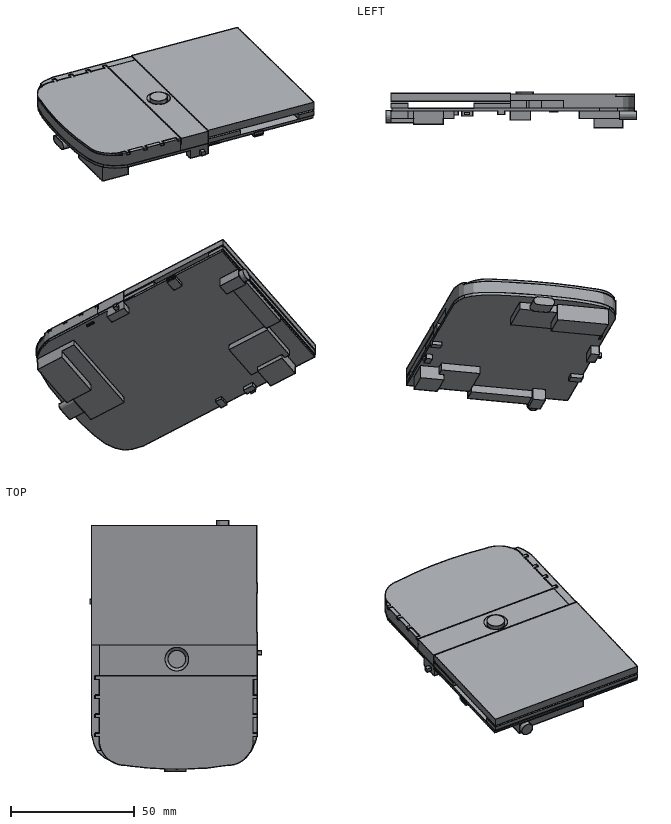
import cadquery as cq


OVERALL_WIDTH = 69.5
OVERALL_LENGTH = 101.5
OVERALL_HEIGHT = 14.6
HALF_WIDTH = 33.6
RIGHT_INSET = 0.2
BOARD_BACK = 99.1
BODY_BACK = 99.5
SPLIT_Y = 51.1
KEYPAD_BACK = 38.5
GAP = 0.3

BOARD_TOP = 1.2
SPACER_TOP = 3.2
DISPLAY_BOTTOM = 4.0
MODULE_SHELF_TOP = 4.3
KEYPAD_BOTTOM = 6.0
KEYBOARD_TOP = 7.0
DISPLAY_TOP = 7.3
BUTTON_TOP = 7.8
LOWEST = BUTTON_TOP - OVERALL_HEIGHT

RIGHT_X = HALF_WIDTH - RIGHT_INSET


def block(x0, x1, y0, y1, z0, z1):
    """Solid box between two opposite corners."""
    return cq.Workplane("XY").box(x1 - x0, y1 - y0, z1 - z0, centered=False).translate((x0, y0, z0))


def make_display():
    return block(-HALF_WIDTH, RIGHT_X, SPLIT_Y, BODY_BACK, DISPLAY_BOTTOM, DISPLAY_TOP)


FRONT_SPACER_BACK = 65.9
REAR_SPACER_FRONT = 92.5


def make_spacer(y0, y1):
    return block(-HALF_WIDTH, RIGHT_X, y0, y1, BOARD_TOP, SPACER_TOP)


LEFT_FACETS = [
    (-HALF_WIDTH, 15.0),
    (-33.3, 14.3),
    (-32.5, 10.7),
    (-31.0, 7.7),
    (-28.0, 5.3),
    (-24.0, 3.4),
    (-17.7, 2.0),
]
BOARD_FRONT_FACETS = [(-9.6, 1.2), (0.3, 0.9), (13.3, 1.2)]
BOARD_RIGHT_FACETS = [(20.6, 2.3), (25.3, 3.7), (28.9, 5.7), (31.7, 9.4), (RIGHT_X, 14.3)]


JACK_X = 19.5
JACK_RADIUS = 2.5
JACK_BOTTOM = -4.8
JACK_LENGTH = OVERALL_LENGTH - BODY_BACK
SHIELD_BOTTOM = -3.0
SOCKET_X = 0.4
SOCKET_WIDTH = 8.6
SOCKET_DEPTH = 7.0
SOCKET_HEIGHT = 3.5
RIGHT_KEY_TIP_X = 35.3
LEFT_KEY_TIP_X = RIGHT_KEY_TIP_X - OVERALL_WIDTH

COMPONENTS = {
    "camera": (-32.6, -22.9, 78.3, 90.3, -5.4, 0),
    "left shield": (-25.0, -8.9, 73.9, 92.6, SHIELD_BOTTOM, 0),
    "rear shield": (-8.1, JACK_X, 92.6, BODY_BACK, SHIELD_BOTTOM, 0),
    "front shield": (-8.1, 28.3, SOCKET_DEPTH, 23.3, SHIELD_BOTTOM, 0),
    "speaker": (7.3, 28.3, 5.6, 17.4, LOWEST, 0),
    "jack block": (
        JACK_X - JACK_RADIUS, JACK_X + JACK_RADIUS, 90.3, BODY_BACK, JACK_BOTTOM, 0,
    ),
    "left key switch": (-33.0, -30.6, 66.3, 70.9, -2.0, 0),
    "left key": (LEFT_KEY_TIP_X, -33.0, 67.6, 69.6, -1.4, -0.6),
    "left contact": (-HALF_WIDTH, -29.6, 53.3, 56.2, -1.4, 0),
    "right key switch": (30.0, RIGHT_X, 42.9, 51.2, -3.7, 0),
    "right key": (RIGHT_X, RIGHT_KEY_TIP_X, 47.1, 48.8, -2.6, -0.9),
    "rear switch": (28.4, RIGHT_X, 72.2, 76.2, -1.6, 0),
    "rear switch lip": (RIGHT_X, 33.7, 72.2, 76.2, -0.8, 0.5),
    "right contact lip": (RIGHT_X, HALF_WIDTH, SPLIT_Y, 56.2, 0, 0.5),
    "right pad": (31.3, 32.1, 31.9, 35.3, -0.4, 0),
}


def make_charging_socket():
    """Round-ended bar hanging from the front of the board."""
    socket = cq.Workplane("XZ").slot2D(SOCKET_WIDTH, SOCKET_HEIGHT).extrude(-SOCKET_DEPTH)
    return socket.translate((SOCKET_X, 0, -SOCKET_HEIGHT / 2))


def make_jack():
    jack = cq.Workplane("XZ").circle(JACK_RADIUS).extrude(-JACK_LENGTH)
    return jack.translate((JACK_X, BODY_BACK, JACK_BOTTOM + JACK_RADIUS))


def make_circuit_board():
    outline = [(-HALF_WIDTH, BOARD_BACK), *LEFT_FACETS, *BOARD_FRONT_FACETS, *BOARD_RIGHT_FACETS]
    outline.append((RIGHT_X, BOARD_BACK))
    board = cq.Workplane("XY").polyline(outline).close().extrude(BOARD_TOP)
    for corners in COMPONENTS.values():
        board = board.union(block(*corners))
    return board.union(make_charging_socket()).union(make_jack())


KEYPAD_X = 0.8
KEYPAD_HALF_WIDTH = 31.1
KEYPAD_FRONT = 0.8
KEYPAD_CURVE_START = 11.2
TAB_LENGTH = 1.7
TAB_WIDTH = 1.3
TAB_PITCH = 7.7
TAB_COUNT = 4

CORNER_MIDDLE = (28.1, 5.4)
CORNER_END = (20.6, 2.3)


def keypad_plate():
    middle_x, middle_y = CORNER_MIDDLE
    end_x, end_y = CORNER_END
    return (
        cq.Workplane("XY", origin=(KEYPAD_X, 0, KEYPAD_BOTTOM))
        .moveTo(-KEYPAD_HALF_WIDTH, KEYPAD_BACK)
        .lineTo(KEYPAD_HALF_WIDTH, KEYPAD_BACK)
        .lineTo(KEYPAD_HALF_WIDTH, KEYPAD_CURVE_START)
        .threePointArc(CORNER_MIDDLE, CORNER_END)
        .threePointArc((0, KEYPAD_FRONT), (-end_x, end_y))
        .threePointArc((-middle_x, middle_y), (-KEYPAD_HALF_WIDTH, KEYPAD_CURVE_START))
        .close()
        .extrude(KEYBOARD_TOP - KEYPAD_BOTTOM)
    )


def make_keypad():
    keypad = keypad_plate()
    reach = KEYPAD_HALF_WIDTH + TAB_LENGTH
    for i in range(TAB_COUNT):
        back = KEYPAD_BACK - i * TAB_PITCH
        keypad = keypad.union(
            block(KEYPAD_X - reach, KEYPAD_X + reach, back - TAB_WIDTH, back, KEYPAD_BOTTOM, KEYBOARD_TOP)
        )
    return keypad


BAND_LEFT = KEYPAD_X - KEYPAD_HALF_WIDTH
BAND_FRONT = KEYPAD_BACK + GAP
BUTTON_X = 1.0
BUTTON_Y = 45.4
BUTTON_RADIUS = 3.6
DISH_RADIUS = 4.8
DISH_DEPTH = 1.0
FOOT_FRONT = 44.7
GROOVE_WIDTH = 1.0
GROOVE_DEPTH = 0.3


def make_button():
    floor = KEYBOARD_TOP - DISH_DEPTH
    return (
        cq.Workplane("XY", origin=(BUTTON_X, BUTTON_Y, floor))
        .circle(BUTTON_RADIUS)
        .extrude(BUTTON_TOP - floor)
    )


def make_trackpad_module():
    foot = block(-HALF_WIDTH, BAND_LEFT, FOOT_FRONT, SPLIT_Y, BOARD_TOP, MODULE_SHELF_TOP)
    shelf = block(BAND_LEFT, HALF_WIDTH, KEYPAD_BACK, SPLIT_Y, BOARD_TOP, MODULE_SHELF_TOP)
    band = block(BAND_LEFT, HALF_WIDTH, BAND_FRONT, SPLIT_Y, MODULE_SHELF_TOP, KEYBOARD_TOP)
    dish = (
        cq.Workplane("XY", origin=(BUTTON_X, BUTTON_Y, KEYBOARD_TOP - DISH_DEPTH))
        .circle(BUTTON_RADIUS)
        .workplane(offset=DISH_DEPTH)
        .circle(DISH_RADIUS)
        .loft()
    )
    groove = block(
        BAND_LEFT, BAND_LEFT + GROOVE_DEPTH, FOOT_FRONT - GROOVE_WIDTH, FOOT_FRONT,
        BOARD_TOP, MODULE_SHELF_TOP,
    )
    return shelf.union(foot).union(band).cut(dish).cut(groove)


FRAME_STEP_Y = 8.4
WINDOW_FRONT = 29.6
RIGHT_WALL_X = KEYPAD_X + KEYPAD_HALF_WIDTH
FACET_ROUND = 3.0
FACETS_END_X = -17.3
FRAME_FRONT = (KEYPAD_X, KEYPAD_FRONT)
FRAME_CORNER_END = (30.7, 7.5)
FRAME_RIGHT_FACETS = [(31.5, 8.8), (33.0, 12.2), (HALF_WIDTH, 15.0)]
RIGHT_STEP_Y = 12.2


def frame_prism():
    left_corner, _, *left_facets = LEFT_FACETS
    end_x, end_y = CORNER_END
    arc_middle = (KEYPAD_X + end_x / 2, KEYPAD_FRONT + (end_y - KEYPAD_FRONT) / 4)
    prism = (
        cq.Workplane("XY", origin=(0, 0, BOARD_TOP))
        .polyline([(-HALF_WIDTH, SPLIT_Y), left_corner, *left_facets, FRAME_FRONT])
        .threePointArc(arc_middle, (KEYPAD_X + end_x, end_y))
        .tangentArcPoint(FRAME_CORNER_END, relative=False)
        .polyline([*FRAME_RIGHT_FACETS, (HALF_WIDTH, SPLIT_Y)], includeCurrent=True)
        .close()
        .extrude(KEYBOARD_TOP - BOARD_TOP)
    )
    facet_region = cq.selectors.BoxSelector(
        (-2 * HALF_WIDTH, 0, 0), (FACETS_END_X, KEYPAD_BACK, KEYBOARD_TOP),
    )
    return prism.edges("|Z").edges(facet_region).fillet(FACET_ROUND)


def make_frame(keypad):
    frame = frame_prism()
    frame = frame.cut(block(BAND_LEFT, HALF_WIDTH, KEYPAD_BACK, SPLIT_Y, BOARD_TOP, KEYBOARD_TOP))
    frame = frame.cut(
        block(-HALF_WIDTH, RIGHT_WALL_X, WINDOW_FRONT, SPLIT_Y, BOARD_TOP, MODULE_SHELF_TOP)
    )
    for shift in [(0, 0, 0), (-GAP, 0, 0), (0, GAP, 0)]:
        frame = frame.cut(keypad.translate(shift))
    frame = frame.cut(
        block(
            RIGHT_WALL_X, RIGHT_WALL_X + GAP, KEYPAD_BACK - TAB_PITCH, KEYPAD_BACK - TAB_WIDTH,
            KEYPAD_BOTTOM, KEYBOARD_TOP,
        )
    )
    frame = frame.cut(
        block(RIGHT_WALL_X, HALF_WIDTH, 0, RIGHT_STEP_Y, KEYPAD_BOTTOM, KEYBOARD_TOP)
    )
    return frame.cut(
        block(-HALF_WIDTH, HALF_WIDTH, 0, FRAME_STEP_Y, KEYPAD_BOTTOM, KEYBOARD_TOP)
    )


display = make_display()
rear_spacer = make_spacer(REAR_SPACER_FRONT, BODY_BACK)
front_spacer = make_spacer(SPLIT_Y, FRONT_SPACER_BACK)
circuit_board = make_circuit_board()
keypad = make_keypad()
frame = make_frame(keypad)
trackpad_module = make_trackpad_module()
button = make_button()

result = cq.Compound.makeCompound([
    display.solids().val(),
    rear_spacer.solids().val(),
    front_spacer.solids().val(),
    circuit_board.solids().val(),
    frame.solids().val(),
    keypad.solids().val(),
    trackpad_module.solids().val(),
    button.solids().val(),
])